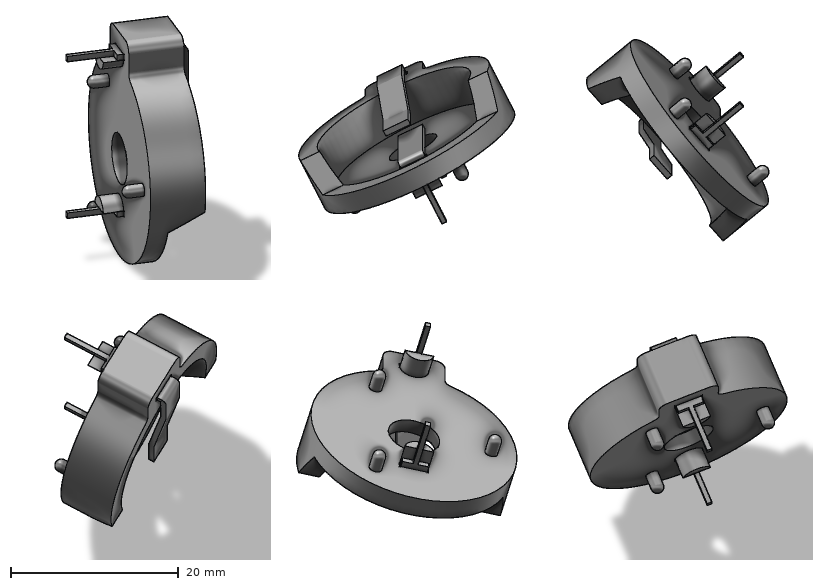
import cadquery as cq
import math


disc_radius = 12.7
housing_depth = 6.9
top_height = 16.5
tab_half_width = 3.83
tab_corner_radius = 1.25
tab_root_radius = 1.0
floor_thickness = 1.78
cavity_radius = 10.22
hole_radius = 3.15
relief_depth = 2.5
relief_upper_z = -2.57
relief_lower_z = -5.05

front_length = 2.55
post_radius = 0.8
post_circle_radius = 9.52
post_count = 3
boss_radius = 1.8

sheet = 0.73
contact_width = 3.27
lead_width = 0.6
lead_length = 6.6
shoulder_length = 0.8
upper_slot_z = 14.0
lower_slot_z = -6.48
slot_width = 2 * boss_radius
spring_back_y = 8.12
spring_tip_back_y = 6.45
spring_upper_bend_z = 9.32
spring_lower_bend_z = -0.85
spring_tip_z = -5.25
plate_top_z = 5.25


def box_between(x_size, y_start, y_end, z_start, z_end):
    """Box centred on X = 0 that spans the given Y and Z ranges."""
    return cq.Workplane("XY").box(x_size, y_end - y_start, z_end - z_start).translate(
        (0, (y_start + y_end) / 2, (z_start + z_end) / 2)
    )


def cylinder_along_y(radius, y_start, y_end, x=0, z=0):
    length = y_end - y_start
    return cq.Workplane(cq.Solid.makeCylinder(radius, length, cq.Vector(x, y_start, z), cq.Vector(0, 1, 0)))


def housing_blank():
    """Disc with a rounded tab at the top, blended into the disc."""
    disc = cylinder_along_y(disc_radius, 0, housing_depth)
    tab = box_between(2 * tab_half_width, 0, housing_depth, 0, top_height)
    tab = tab.edges("|Y and >Z").fillet(tab_corner_radius)
    root_z = math.sqrt(disc_radius**2 - tab_half_width**2)
    root_edges = cq.selectors.BoxSelector(
        (-tab_half_width - 0.3, -0.3, root_z - 0.3),
        (tab_half_width + 0.3, housing_depth + 0.3, root_z + 0.3),
    )
    return disc.union(tab).edges("|Y").edges(root_edges).fillet(tab_root_radius)


def relief_cut():
    """Sloped cut that lowers the rim at the bottom of the disc."""
    return (
        cq.Workplane("YZ")
        .moveTo(housing_depth, relief_upper_z)
        .lineTo(relief_depth, relief_lower_z)
        .lineTo(relief_depth, -disc_radius)
        .lineTo(housing_depth, -disc_radius)
        .close()
        .extrude(disc_radius, both=True)
    )


def post(x, z):
    """Round locating post with a hemispherical end."""
    shank_end = -(front_length - post_radius)
    dome = cq.Workplane("XY").sphere(post_radius).translate((x, shank_end, z))
    return cylinder_along_y(post_radius, shank_end, 0, x, z).union(dome)


def slot_boss(slot_z, side):
    """Half-round boss on the side of the slot (+1 above, -1 below)."""
    boss = cylinder_along_y(boss_radius, -front_length, 0, z=slot_z)
    z_near = slot_z + side * sheet / 2
    z_far = slot_z + side * boss_radius
    half = box_between(slot_width, -front_length, 0, min(z_near, z_far), max(z_near, z_far))
    return boss.intersect(half)


def slot(slot_z):
    return box_between(slot_width, 0, housing_depth, slot_z - sheet / 2, slot_z + sheet / 2)


def make_housing():
    body = housing_blank().cut(relief_cut())
    body = body.cut(cylinder_along_y(cavity_radius, floor_thickness, housing_depth))
    body = body.cut(cylinder_along_y(hole_radius, 0, floor_thickness))
    for i in range(post_count):
        angle = 2 * math.pi * i / post_count
        body = body.union(post(post_circle_radius * math.cos(angle), post_circle_radius * math.sin(angle)))
    for slot_z, boss_side in ((upper_slot_z, -1), (lower_slot_z, 1)):
        body = body.union(slot_boss(slot_z, boss_side)).cut(slot(slot_z))
    return body


def contact_lead(slot_z, y_end):
    """Flat strip through a slot, narrowing to a solder lead in front of the housing."""
    z_start = slot_z - sheet / 2
    z_end = slot_z + sheet / 2
    strip = box_between(contact_width, -shoulder_length, y_end, z_start, z_end)
    lead = box_between(lead_width, -lead_length, -shoulder_length, z_start, z_end)
    return strip.union(lead)


def make_spring_contact():
    """Upper contact, bent over the back of the tab and sloping down into the cavity."""
    top_z = upper_slot_z + sheet / 2
    bend_z = upper_slot_z - sheet / 2
    inner_y = spring_back_y - sheet
    tip_inner_y = spring_tip_back_y - sheet
    slope = math.atan2(spring_back_y - spring_tip_back_y, spring_upper_bend_z - spring_lower_bend_z)
    mitre_rise = sheet * math.tan(slope / 2)
    arc_offset = sheet * math.sqrt(0.5)
    leaf = (
        cq.Workplane("YZ")
        .moveTo(inner_y, top_z)
        .threePointArc((inner_y + arc_offset, bend_z + arc_offset), (spring_back_y, bend_z))
        .lineTo(spring_back_y, spring_upper_bend_z)
        .lineTo(spring_tip_back_y, spring_lower_bend_z)
        .lineTo(spring_tip_back_y, spring_tip_z)
        .lineTo(tip_inner_y, spring_tip_z)
        .lineTo(tip_inner_y, spring_lower_bend_z + mitre_rise)
        .lineTo(inner_y, spring_upper_bend_z + mitre_rise)
        .lineTo(inner_y, bend_z)
        .close()
        .extrude(contact_width / 2, both=True)
    )
    return contact_lead(upper_slot_z, inner_y).union(leaf)


def make_plate_contact():
    """Lower contact, bent up to lie flat on the cavity floor across the central hole."""
    bottom_z = lower_slot_z - sheet / 2
    bend_z = lower_slot_z + sheet / 2
    plate_back_y = floor_thickness + sheet
    arc_offset = sheet * math.sqrt(0.5)
    plate = (
        cq.Workplane("YZ")
        .moveTo(floor_thickness, bottom_z)
        .threePointArc((floor_thickness + arc_offset, bend_z - arc_offset), (plate_back_y, bend_z))
        .lineTo(plate_back_y, plate_top_z)
        .lineTo(floor_thickness, plate_top_z)
        .close()
        .extrude(contact_width / 2, both=True)
    )
    return contact_lead(lower_slot_z, floor_thickness).union(plate)


housing = make_housing()
spring_contact = make_spring_contact()
plate_contact = make_plate_contact()

result = cq.Compound.makeCompound(
    [housing.solids().val(), spring_contact.solids().val(), plate_contact.solids().val()]
)